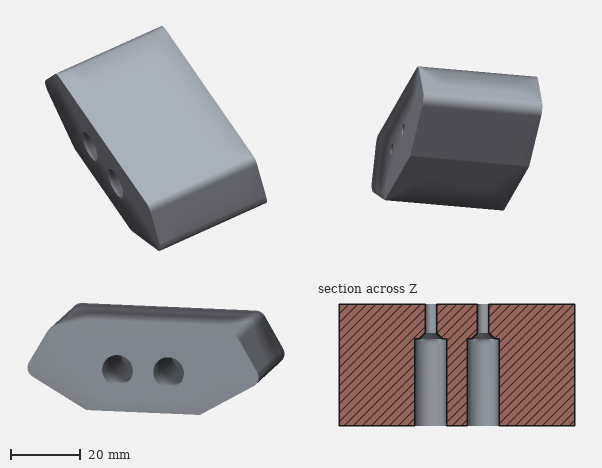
import cadquery as cq
import math

width = 67.89
depth = 35.0
height = 24.0
bottom_width = 33.35
corner_radius = 3.0
lower_angle = 30.0
upper_angle = 60.0

hole_spacing = 15.0
hole_height = height / 2
counterbore_diameter = 9.0
counterbore_depth = 25.0
countersink_diameter = 6.6
countersink_angle = 90.0
screw_diameter = 3.2

front_y = -depth / 2
lower_slope = math.tan(math.radians(lower_angle))
upper_slope = math.tan(math.radians(upper_angle))

corner_direction = math.radians((upper_angle - lower_angle) / 2)
corner_trim = corner_radius * (math.sqrt(2) * math.cos(corner_direction) - 1)
side_x = width / 2 + corner_trim
side_z = (side_x - bottom_width / 2) * lower_slope
top_x = side_x - (height - side_z) / upper_slope


def make_block():
    """Extruded profile with rounded top and side edges and sharp bottom edges."""
    outline = [
        (-bottom_width / 2, 0),
        (bottom_width / 2, 0),
        (side_x, side_z),
        (top_x, height),
        (-top_x, height),
        (-side_x, side_z),
    ]
    block = cq.Workplane("XZ", origin=(0, -front_y, 0)).polyline(outline).close().extrude(depth)
    bottom_edge_limit = side_z / 2
    rounded_edges = cq.selectors.BoxSelector(
        (-width, -depth, bottom_edge_limit), (width, depth, 2 * height)
    )
    return block.edges("|Y").edges(rounded_edges).fillet(corner_radius)


def make_hole(x):
    """Cutter for a counterbore with a countersunk floor and a through hole."""
    counterbore_radius = counterbore_diameter / 2
    countersink_radius = countersink_diameter / 2
    screw_radius = screw_diameter / 2
    half_angle = math.radians(countersink_angle / 2)
    countersink_depth = (countersink_radius - screw_radius) / math.tan(half_angle)
    countersink_end = counterbore_depth + countersink_depth
    section = [
        (0, 0),
        (counterbore_radius, 0),
        (counterbore_radius, counterbore_depth),
        (countersink_radius, counterbore_depth),
        (screw_radius, countersink_end),
        (screw_radius, depth),
        (0, depth),
    ]
    cutter = cq.Workplane("XY").polyline(section).close().revolve(360, (0, 0), (0, 1))
    return cutter.translate((x, front_y, hole_height))


result = make_block()
for hole_x in (-hole_spacing / 2, hole_spacing / 2):
    result = result.cut(make_hole(hole_x))